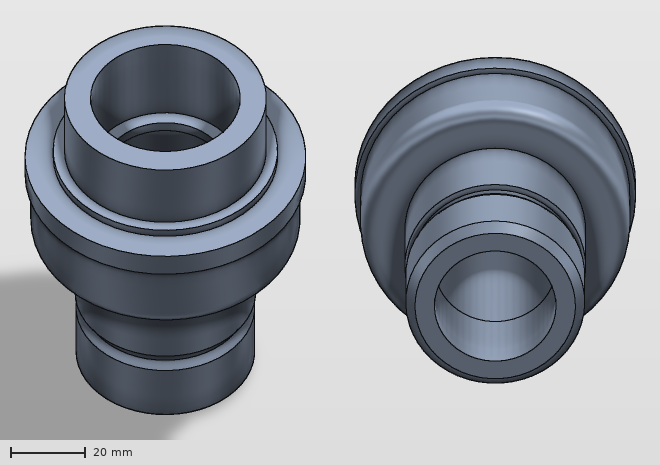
import cadquery as cq

total_height = 99.0
thread_chamfer = 2.5
thread_top = 19.3
neck_bottom = 21.0
neck_step = 0.3
neck_taper_bottom = 24.1
tail_bottom = 25.0
nut_bottom = 48.0
flange_bottom = 70.0
nut_top = 76.8
collar_top = 79.1
socket_depth = 26.0

bore_diameter = 32.5
socket_diameter = 40.0
sleeve_diameter = 54.0
collar_diameter = 60.0
flange_diameter = 75.0
nut_diameter = 72.0
tail_diameter = 48.3
thread_diameter = 47.8
neck_diameter = 44.0
neck_top_diameter = 45.1
thread_lead_diameter = 44.5

nut_edge_radius = 4.95

sleeve_bottom = flange_bottom


def cylinder(diameter, bottom, top):
    """Solid cylinder on the Z axis between two heights."""
    return cq.Workplane("XY").workplane(offset=bottom).circle(diameter / 2).extrude(top - bottom)


def make_sleeve():
    """Socket sleeve with a collar that sits in the nut."""
    body = cylinder(sleeve_diameter, sleeve_bottom, total_height)
    collar = cylinder(collar_diameter, sleeve_bottom, collar_top)
    bore = cylinder(bore_diameter, sleeve_bottom, total_height)
    socket = cylinder(socket_diameter, total_height - socket_depth, total_height)
    return body.union(collar).cut(bore).cut(socket)


def make_nut():
    """Flanged union nut around the sleeve collar and the tail pipe."""
    body = cylinder(nut_diameter, nut_bottom, nut_top).faces("<Z").edges().fillet(nut_edge_radius)
    flange = cylinder(flange_diameter, flange_bottom, nut_top)
    collar_recess = cylinder(collar_diameter, sleeve_bottom, nut_top)
    tail_hole = cylinder(tail_diameter, nut_bottom, sleeve_bottom)
    return body.union(flange).cut(collar_recess).cut(tail_hole)


def make_tail_pipe():
    """Plain pipe from the neck shoulder up to the underside of the sleeve."""
    body = cylinder(tail_diameter, tail_bottom, sleeve_bottom)
    return body.cut(cylinder(bore_diameter, tail_bottom, sleeve_bottom))


def make_nipple():
    """Lower nipple with chamfered ends and a narrow neck, revolved about Z."""
    bore_radius = bore_diameter / 2
    thread_radius = thread_diameter / 2
    neck_radius = neck_diameter / 2
    profile = [
        (bore_radius, 0),
        (thread_radius - thread_chamfer, 0),
        (thread_radius, thread_chamfer),
        (thread_radius, thread_top),
        (thread_lead_diameter / 2, neck_bottom),
        (neck_radius, neck_bottom + neck_step),
        (neck_radius, neck_taper_bottom),
        (neck_top_diameter / 2, tail_bottom),
        (bore_radius, tail_bottom),
    ]
    return cq.Workplane("XZ").polyline(profile).close().revolve(360, (0, 0, 0), (0, 1, 0))


sleeve = make_sleeve()
nut = make_nut()
tail_pipe = make_tail_pipe()
nipple = make_nipple()

bodies = [sleeve, nut, tail_pipe, nipple]
result = cq.Compound.makeCompound([body.solids().val() for body in bodies])